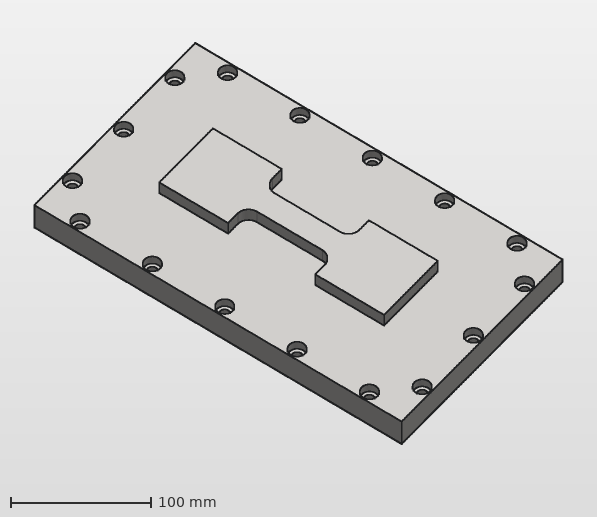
import cadquery as cq

plate_length = 330.0
plate_width = 189.0
plate_thickness = 25.0

total_height = 37.0
pad_height = total_height - plate_thickness
pad_length = 202.0
pad_width = 63.0
neck_length = 78.2
neck_width = 21.0
neck_fillet = 10.0

hole_diameter = 8.0
counterbore_diameter = 14.0
counterbore_depth = 8.0
hole_inset = 8.0
long_side_pitch = 65.0
long_side_count = 5
short_side_pitch = 60.0
short_side_count = 3


def centred_row(count, pitch):
    """Evenly spaced positions, symmetric about zero."""
    return [(index - (count - 1) / 2) * pitch for index in range(count)]


def border_hole_points():
    """Hole centres along all four sides of the plate."""
    column_x = plate_length / 2 - hole_inset
    row_y = plate_width / 2 - hole_inset
    points = []
    for side in (-1, 1):
        for x in centred_row(long_side_count, long_side_pitch):
            points.append((x, side * row_y))
        for y in centred_row(short_side_count, short_side_pitch):
            points.append((side * column_x, y))
    return points


def make_plate():
    """Base plate resting on Z = 0, with its counterbored through holes."""
    return (
        cq.Workplane("XY")
        .box(plate_length, plate_width, plate_thickness, centered=(True, True, False))
        .faces(">Z")
        .workplane()
        .pushPoints(border_hole_points())
        .cboreHole(hole_diameter, counterbore_diameter, counterbore_depth)
    )


def make_pad():
    """Two wide ends joined by a narrow neck with filleted inner corners."""
    end_length = (pad_length - neck_length) / 2
    end_offset = (neck_length + end_length) / 2
    top_plane = cq.Workplane("XY").workplane(offset=plate_thickness)
    ends = (
        top_plane.pushPoints([(-end_offset, 0), (end_offset, 0)])
        .rect(end_length, pad_width)
        .extrude(pad_height)
    )
    neck = top_plane.rect(pad_length, neck_width).extrude(pad_height)
    inner_corners = cq.selectors.BoxSelector(
        (-pad_length / 4, -pad_width / 4, 0),
        (pad_length / 4, pad_width / 4, total_height),
    )
    return ends.union(neck).edges("|Z").edges(inner_corners).fillet(neck_fillet)


result = make_plate().union(make_pad())